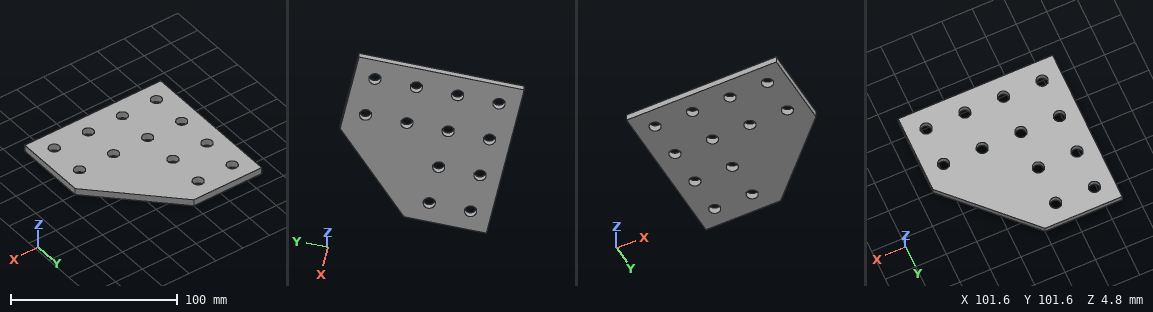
import cadquery as cq

side = 101.6
thickness = 4.8
corner_cut = side / 2

holes_per_side = 4
arm_rows = 2
hole_pitch = side / holes_per_side
hole_diameter = 7.2

outline = [
    (0, 0),
    (side, 0),
    (side, side - corner_cut),
    (side - corner_cut, side),
    (0, side),
]
plate = cq.Workplane("XY").polyline(outline).close().extrude(thickness)

hole_centres = [
    ((column + 0.5) * hole_pitch, (row + 0.5) * hole_pitch)
    for column in range(holes_per_side)
    for row in range(holes_per_side)
    if column < arm_rows or row < arm_rows
]
holes = cq.Workplane("XY").pushPoints(hole_centres).circle(hole_diameter / 2).extrude(thickness)

result = plate.cut(holes)